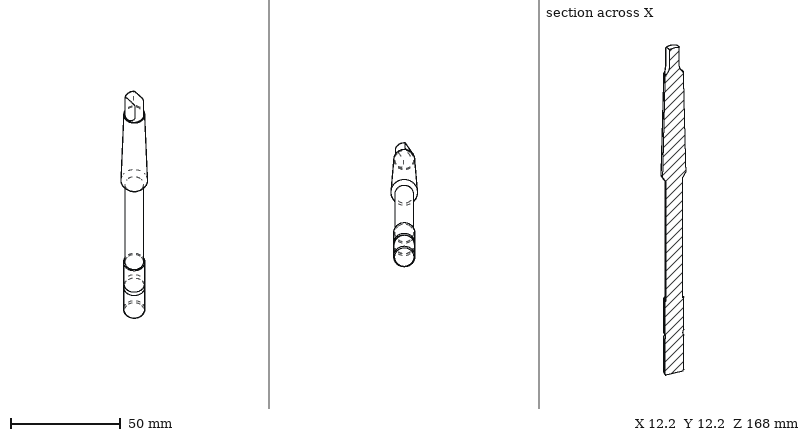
import cadquery as cq
import math

total_length = 168.0
taper_shank_length = 65.5
tang_length = 13.5

taper_large_diameter = 12.24
taper_per_length = 1 / 20.047

tang_diameter = 8.7
tang_thickness = 5.2
tang_runout_radius = 5.0
tang_flat_length = 9.3
tang_tip_radius = 1.2
tang_tip_slope = math.radians(6)

neck_diameter = 8.5
neck_cone_length = 3.0

head_diameter = 9.8
head_length = 38.2
head_chamfer_radial = 0.5
head_chamfer_length = 0.9

groove_center_height = 20.0
groove_width = 2.7
groove_depth = 0.4

taper_start = total_length - taper_shank_length
tang_start = total_length - tang_length
taper_length = tang_start - taper_start
taper_small_radius = (taper_large_diameter - taper_length * taper_per_length) / 2
tang_radius = tang_diameter / 2
neck_radius = neck_diameter / 2
head_radius = head_diameter / 2


def turned_body():
    """Revolve the half outline of the whole part about the Z axis."""
    groove_bottom = groove_center_height - groove_width / 2
    groove_top = groove_center_height + groove_width / 2
    round_center_radius = tang_radius - tang_tip_radius
    cone_edge_radius = round_center_radius + tang_tip_radius * math.sin(tang_tip_slope)
    cone_edge_height = total_length - cone_edge_radius * math.tan(tang_tip_slope)
    round_start = cone_edge_height - tang_tip_radius * math.cos(tang_tip_slope)
    round_middle_angle = (math.pi / 2 - tang_tip_slope) / 2
    round_middle = (
        round_center_radius + tang_tip_radius * math.cos(round_middle_angle),
        round_start + tang_tip_radius * math.sin(round_middle_angle),
    )

    outline = (
        cq.Workplane("XZ")
        .moveTo(0, 0)
        .lineTo(head_radius - head_chamfer_radial, 0)
        .lineTo(head_radius, head_chamfer_length)
        .lineTo(head_radius, groove_bottom)
        .threePointArc((head_radius - groove_depth, groove_center_height), (head_radius, groove_top))
        .lineTo(head_radius, head_length)
        .lineTo(neck_radius, head_length)
        .lineTo(neck_radius, taper_start - neck_cone_length)
        .lineTo(taper_large_diameter / 2, taper_start)
        .lineTo(taper_small_radius, tang_start)
        .lineTo(tang_radius, tang_start)
        .lineTo(tang_radius, round_start)
        .threePointArc(round_middle, (cone_edge_radius, cone_edge_height))
        .lineTo(0, total_length)
        .close()
    )
    return outline.revolve(360, (0, 0, 0), (0, 1, 0))


def tang_flat_cutter(side):
    """Material beside one flat of the tang; side is +1 or -1 along Y."""
    flat_y = tang_thickness / 2
    outer_y = flat_y + tang_runout_radius
    flat_end = total_length - tang_flat_length
    runout_mid_offset = tang_runout_radius * math.sqrt(0.5)
    runout_middle = (side * (outer_y - runout_mid_offset), flat_end - runout_mid_offset)

    return (
        cq.Workplane("YZ")
        .moveTo(side * flat_y, total_length)
        .lineTo(side * flat_y, flat_end)
        .threePointArc(runout_middle, (side * outer_y, flat_end - tang_runout_radius))
        .lineTo(side * outer_y, total_length)
        .close()
        .extrude(tang_radius, both=True)
    )


result = turned_body()
for side in (1, -1):
    result = result.cut(tang_flat_cutter(side))